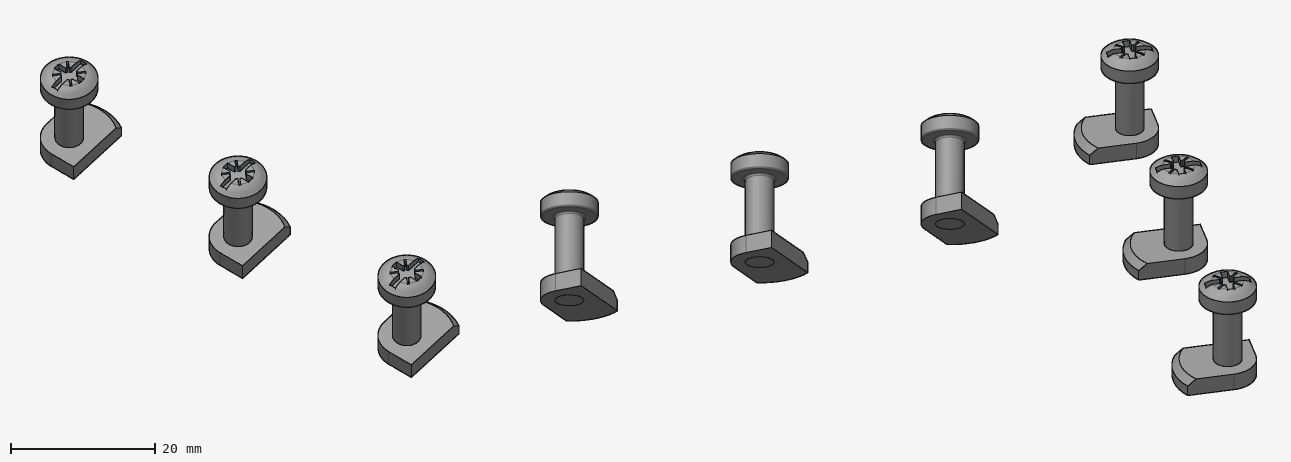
import cadquery as cq
import math

PAIR_COUNT = 3
PITCH = 30.0

WIDTH = 8.0
HALF_WIDTH = WIDTH / 2
PLATE_REACH = 7.75
PLATE_THICKNESS = 2.6
END_CHAMFER = 1.0

TOTAL_HEIGHT = 15.6
SHANK_DIAMETER = 4.0
HEAD_DIAMETER = WIDTH
HEAD_RADIUS = HEAD_DIAMETER / 2
HEAD_HEIGHT = 3.1
CROWN_HEIGHT = 0.95
CROWN_FLAT_DIAMETER = 4.5
CROWN_RADIUS = 3.4
NECK_FILLET = 0.3
RIM_ROUND = 0.2

RECESS_DEPTH = 1.0
SLOT_LENGTH = 6.4
SLOT_WIDTH = 1.0
CROSS_SPAN = CROWN_FLAT_DIAMETER
CORE_DIAMETER = 2.3
TICK_SPAN = 4.6
TICK_WIDTH = 0.3

HEAD_BASE = TOTAL_HEIGHT - HEAD_HEIGHT
RIM_TOP = TOTAL_HEIGHT - CROWN_HEIGHT


def make_plate():
    """Plate with one rounded corner, an arc end about the screw axis and a hole for the shank."""
    side_end = math.sqrt(PLATE_REACH**2 - HALF_WIDTH**2)
    corner_middle = -HALF_WIDTH * math.sqrt(0.5)
    plate = (
        cq.Workplane("XY")
        .moveTo(0, -HALF_WIDTH)
        .lineTo(HALF_WIDTH, -HALF_WIDTH)
        .lineTo(HALF_WIDTH, side_end)
        .threePointArc((0, PLATE_REACH), (-HALF_WIDTH, side_end))
        .lineTo(-HALF_WIDTH, 0)
        .threePointArc((corner_middle, corner_middle), (0, -HALF_WIDTH))
        .close()
        .extrude(PLATE_THICKNESS)
    )
    plate = plate.faces(">Z").edges(">Y").chamfer(END_CHAMFER)
    return plate.cut(cq.Workplane("XY").circle(SHANK_DIAMETER / 2).extrude(PLATE_THICKNESS))


def make_screw_blank():
    """Turned shape of the screw: shank, filleted neck, rim and domed crown with a flat top."""
    shank_radius = SHANK_DIAMETER / 2
    flat_radius = CROWN_FLAT_DIAMETER / 2
    chord_run = HEAD_RADIUS - flat_radius
    chord = math.hypot(chord_run, CROWN_HEIGHT)
    bulge = CROWN_RADIUS - math.sqrt(CROWN_RADIUS**2 - (chord / 2) ** 2)
    crown_middle = (
        (flat_radius + HEAD_RADIUS) / 2 + bulge * CROWN_HEIGHT / chord,
        (TOTAL_HEIGHT + RIM_TOP) / 2 + bulge * chord_run / chord,
    )
    neck_offset = NECK_FILLET * (1 - math.sqrt(0.5))
    rim_offset = RIM_ROUND * (1 - math.sqrt(0.5))
    return (
        cq.Workplane("XZ")
        .lineTo(shank_radius, 0)
        .lineTo(shank_radius, HEAD_BASE - NECK_FILLET)
        .threePointArc(
            (shank_radius + neck_offset, HEAD_BASE - neck_offset),
            (shank_radius + NECK_FILLET, HEAD_BASE),
        )
        .lineTo(HEAD_RADIUS - RIM_ROUND, HEAD_BASE)
        .threePointArc(
            (HEAD_RADIUS - rim_offset, HEAD_BASE + rim_offset),
            (HEAD_RADIUS, HEAD_BASE + RIM_ROUND),
        )
        .lineTo(HEAD_RADIUS, RIM_TOP)
        .threePointArc(crown_middle, (flat_radius, TOTAL_HEIGHT))
        .lineTo(0, TOTAL_HEIGHT)
        .close()
        .revolve(360, (0, 0, 0), (0, 1, 0))
    )


def make_bar(length, width, angle):
    """Cutting bar centred on the screw axis, reaching down from the top of the head."""
    bar = cq.Workplane("XY").workplane(offset=TOTAL_HEIGHT).rect(length, width).extrude(-RECESS_DEPTH)
    return bar.rotate((0, 0, 0), (0, 0, 1), angle)


def make_drive_recess():
    """Long slot along Y, short arms along X, narrow diagonal ticks and a round core."""
    head_top = cq.Workplane("XY").workplane(offset=TOTAL_HEIGHT)
    recess = head_top.circle(CORE_DIAMETER / 2).extrude(-RECESS_DEPTH)
    recess = recess.union(make_bar(SLOT_LENGTH, SLOT_WIDTH, 90))
    recess = recess.union(make_bar(CROSS_SPAN, SLOT_WIDTH, 0))
    for angle in (45, 135):
        recess = recess.union(make_bar(TICK_SPAN, TICK_WIDTH, angle))
    return recess


def make_screw():
    return make_screw_blank().cut(make_drive_recess())


plate = make_plate()
screw = make_screw()
bodies = []
for index in range(PAIR_COUNT):
    offset = cq.Vector((index - (PAIR_COUNT - 1) / 2) * PITCH, 0, 0)
    bodies.append(plate.translate(offset).val())
    bodies.append(screw.translate(offset).val())

result = cq.Compound.makeCompound(bodies)